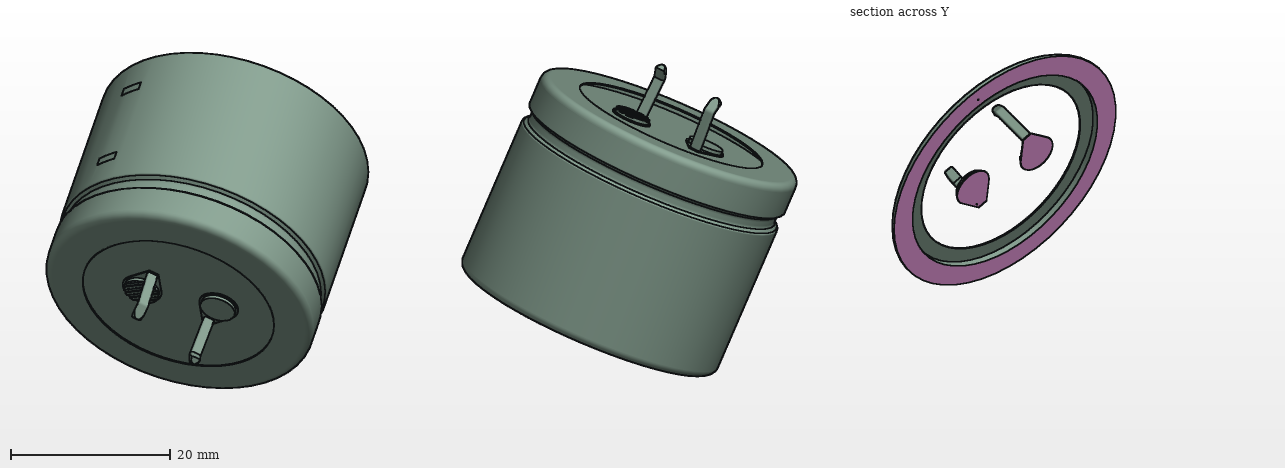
import cadquery as cq
import math

can_diameter = 34.95
can_length = 26.98
rim_radius = 0.98

groove_floor_diameter = 33.5
groove_center = 5.73
groove_floor_width = 0.55
groove_flank_top_diameter = 34.55
groove_flank_top_width = 2.1
groove_flank_foot_diameter = 33.73
groove_flank_foot_width = 1.33
groove_mouth_width = 2.6

lip_opening_diameter = 25.0
lip_thickness = 0.17
cavity_diameter = 29.0
disc_depth = 1.1

terminal_pitch = 10.0
plate_diameter = 5.07
plate_height = 0.15
rivet_diameter = 4.5
rivet_height = 0.63
lean_direction = 68.7

hatch_width = 0.52
hatch_pitch = 1.05
hatch_count = 4
hatch_depth = 0.15
hatch_angle = 30.0

pin_width = 1.33
pin_thickness = 0.9
pin_foot = (3.75, 0.0)
pin_bend = (4.45, 4.35)
pin_tip = (3.25, 5.87)
pin_edge_radius = 0.25
pin_bend_radius = 0.63
pin_tip_round = 0.98

bar_angle = 135.0
bar_width = 3.15
bar_length = 1.1
bar_height = 0.05
bar_positions = (10.62, 21.9)


def cylinder(diameter, start, end):
    """Cylinder on the Y axis from Y = start to Y = end."""
    return cq.Workplane("XZ", origin=(0, start, 0)).circle(diameter / 2).extrude(start - end)


def make_can():
    body = cylinder(can_diameter, 0, can_length).edges().fillet(rim_radius)
    opening = cylinder(lip_opening_diameter, 0, lip_thickness)
    cavity = cylinder(cavity_diameter, lip_thickness, disc_depth)
    return body.cut(make_groove()).cut(opening).cut(cavity)


def arc_middle(start, end):
    """Middle point of the arc that leaves start along Y and reaches end."""
    rise = end[0] - start[0]
    run = end[1] - start[1]
    half_turn = math.atan2(abs(rise), abs(run))
    radius = abs(run) / math.sin(2 * half_turn)
    middle_rise = radius * (1 - math.cos(half_turn))
    middle_run = radius * math.sin(half_turn)
    return (start[0] + math.copysign(middle_rise, rise), start[1] + math.copysign(middle_run, run))


def make_groove():
    """Ring cut into the can wall: rounded lips, conical flanks and a softened flat floor."""

    def ring_points(diameter, width):
        """Two profile points at one radius, on either side of the groove center."""
        return [(diameter / 2, groove_center + side * width / 2) for side in (-1, 1)]

    mouths = ring_points(can_diameter, groove_mouth_width)
    tops = ring_points(groove_flank_top_diameter, groove_flank_top_width)
    feet = ring_points(groove_flank_foot_diameter, groove_flank_foot_width)
    floors = ring_points(groove_floor_diameter, groove_floor_width)

    profile = (
        cq.Workplane("XY")
        .moveTo(*mouths[0])
        .threePointArc(arc_middle(mouths[0], tops[0]), tops[0])
        .lineTo(*feet[0])
        .threePointArc(arc_middle(floors[0], feet[0]), floors[0])
        .lineTo(*floors[1])
        .threePointArc(arc_middle(floors[1], feet[1]), feet[1])
        .lineTo(*tops[1])
        .threePointArc(arc_middle(mouths[1], tops[1]), mouths[1])
        .close()
    )
    return profile.revolve(360, (0, 0, 0), (0, 1, 0))


def make_plate():
    """Teardrop plate: a disc with two tangents running to the foot of the pin."""
    radius = plate_diameter / 2
    end = pin_foot[0] + pin_thickness / 2
    half_width = pin_width / 2
    corner_distance = math.hypot(end, half_width)
    tangent_angle = math.atan2(half_width, end) + math.acos(radius / corner_distance)
    tangent_x = radius * math.cos(tangent_angle)
    tangent_z = radius * math.sin(tangent_angle)
    return (
        cq.Workplane("XZ", origin=(0, disc_depth, 0))
        .moveTo(tangent_x, tangent_z)
        .threePointArc((-radius, 0), (tangent_x, -tangent_z))
        .lineTo(end, -half_width)
        .lineTo(end, half_width)
        .close()
        .extrude(plate_height)
    )


def make_pin():
    """Flat blade leaning outwards along +X, then bent back inwards near its rounded tip."""
    lean = math.atan2(pin_bend[0] - pin_foot[0], pin_bend[1] - pin_foot[1])
    hook = math.atan2(pin_bend[0] - pin_tip[0], pin_tip[1] - pin_bend[1])
    half = pin_thickness / 2
    reach = pin_bend[0] + pin_thickness
    miter_angle = (lean - hook) / 2
    miter = half / math.cos((lean + hook) / 2)
    root = pin_foot[0] - disc_depth * math.tan(lean)
    root_half = half / math.cos(lean)

    def side_points(side):
        """Root, bend and tip on the outer (+1) or inner (-1) face of the blade."""
        bend = (
            pin_bend[0] + side * miter * math.cos(miter_angle),
            -pin_bend[1] + side * miter * math.sin(miter_angle),
        )
        tip = (
            pin_tip[0] + side * half * math.cos(hook),
            -pin_tip[1] - side * half * math.sin(hook),
        )
        return [(root + side * root_half, disc_depth), bend, tip]

    outline = side_points(1) + side_points(-1)[::-1]
    blade = cq.Workplane("XY").polyline(outline).close().extrude(pin_width / 2, both=True)

    outer_bend = outline[1]
    blade = blade.edges(cq.selectors.NearestToPointSelector((*outer_bend, 0))).fillet(pin_bend_radius)
    blade = blade.faces("<Z or >Z").edges("not >Y").fillet(pin_edge_radius)

    round_start = outline[2][1] + pin_tip_round
    straight_part = cq.Workplane("YZ").rect(-2 * round_start, pin_width).extrude(reach)
    round_part = (
        cq.Workplane("YZ", origin=(0, round_start, 0))
        .ellipse(pin_tip_round, pin_width / 2)
        .extrude(reach)
    )
    return blade.intersect(straight_part.union(round_part))


def make_hatching():
    """Parallel grooves for the rivet head."""
    grooves = cq.Workplane("XY")
    for index in range(hatch_count):
        offset = (index - (hatch_count - 1) / 2) * hatch_pitch
        groove = cq.Workplane("XY").box(plate_diameter, 2 * hatch_depth, hatch_width)
        grooves = grooves.union(groove.translate((0, disc_depth - rivet_height, offset)))
    return grooves.rotate((0, 0, 0), (0, 1, 0), -hatch_angle)


def make_terminal(hatched):
    """Terminal around the Y axis, with its pin on the lean direction."""
    foot = make_plate().union(make_pin()).rotate((0, 0, 0), (0, 1, 0), -lean_direction)
    rivet = cylinder(rivet_diameter, disc_depth - rivet_height, disc_depth)
    if hatched:
        rivet = rivet.cut(make_hatching())
    return foot.union(rivet)


def make_minus_bar(position):
    """Thin raised bar on the can wall."""
    patch = cq.Workplane("XY").box(can_diameter, bar_length, bar_width)
    patch = patch.translate((can_diameter / 2, position, 0))
    shell = cylinder(can_diameter + 2 * bar_height, 0, can_length)
    return shell.intersect(patch.rotate((0, 0, 0), (0, 1, 0), -bar_angle))


result = make_can()
for bar_position in bar_positions:
    result = result.union(make_minus_bar(bar_position))

negative_terminal = make_terminal(hatched=True)
positive_terminal = make_terminal(hatched=False).rotate((0, 0, 0), (0, 1, 0), 180)
result = result.union(negative_terminal.translate((-terminal_pitch / 2, 0, 0)))
result = result.union(positive_terminal.translate((terminal_pitch / 2, 0, 0)))